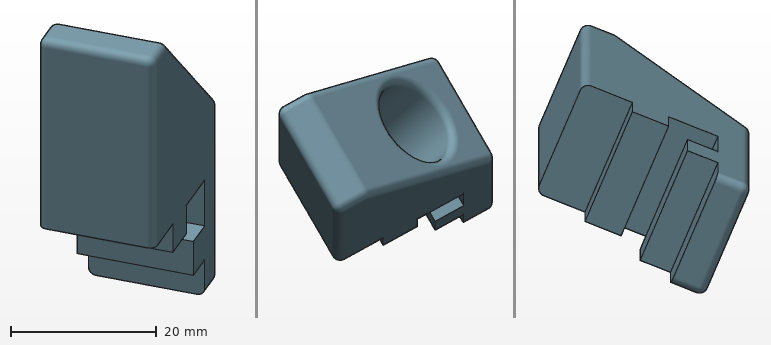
import cadquery as cq
import math

width = 17.0
depth = 25.0
height = 48.5
edge_radius = 1.15

wall = 5.0
slope_angle = 45
slope_run = depth - wall

seat_height = 18.5
tab_gap = 7.3
tab_width = 5.4
tab_length = 4.5

hole_diameter = 12.25
hole_depth = 10.0
hole_inset = 7.5
rim_radius = 1.1

leg_front = depth - wall
slope_bottom = height - slope_run


def make_body():
    """Sloped block with every outer edge rounded."""
    outline = [
        (0, 0),
        (depth, 0),
        (depth, slope_bottom),
        (wall, height),
        (0, height),
    ]
    block = cq.Workplane("YZ").polyline(outline).close().extrude(width / 2, both=True)
    return block.edges().fillet(edge_radius)


def full_width_bar(y_start, y_end, z_start, z_end):
    """Rectangular bar as wide as the part, between the given Y and Z limits."""
    bar = cq.Workplane("XY").box(width, y_end - y_start, z_end - z_start, centered=(True, False, False))
    return bar.translate((0, y_start, z_start))


def make_hole():
    """Cutter for the blind hole, with a bell mouth that rounds its rim."""
    hole_radius = hole_diameter / 2
    mouth_radius = hole_radius + rim_radius
    arc_offset = rim_radius * (1 - math.sqrt(0.5))
    profile = (
        cq.Workplane("XZ")
        .moveTo(0, -hole_depth)
        .lineTo(hole_radius, -hole_depth)
        .lineTo(hole_radius, -rim_radius)
        .threePointArc((hole_radius + arc_offset, -arc_offset), (mouth_radius, 0))
        .lineTo(0, 0)
        .close()
    )
    cutter = profile.revolve(360, (0, 0, 0), (0, 1, 0))
    cutter = cutter.rotate((0, 0, 0), (1, 0, 0), -slope_angle)
    return cutter.translate((0, depth - hole_inset, slope_bottom + hole_inset))


seat = full_width_bar(0, leg_front, 0, seat_height)

upper_tab_back = leg_front - tab_gap
upper_tab = full_width_bar(
    upper_tab_back - tab_width, upper_tab_back, seat_height - tab_length, seat_height
)
lower_tab_top = seat_height - tab_gap
lower_tab = full_width_bar(
    leg_front - tab_length, leg_front, lower_tab_top - tab_width, lower_tab_top
)

result = make_body().cut(seat).union(upper_tab).union(lower_tab).cut(make_hole())